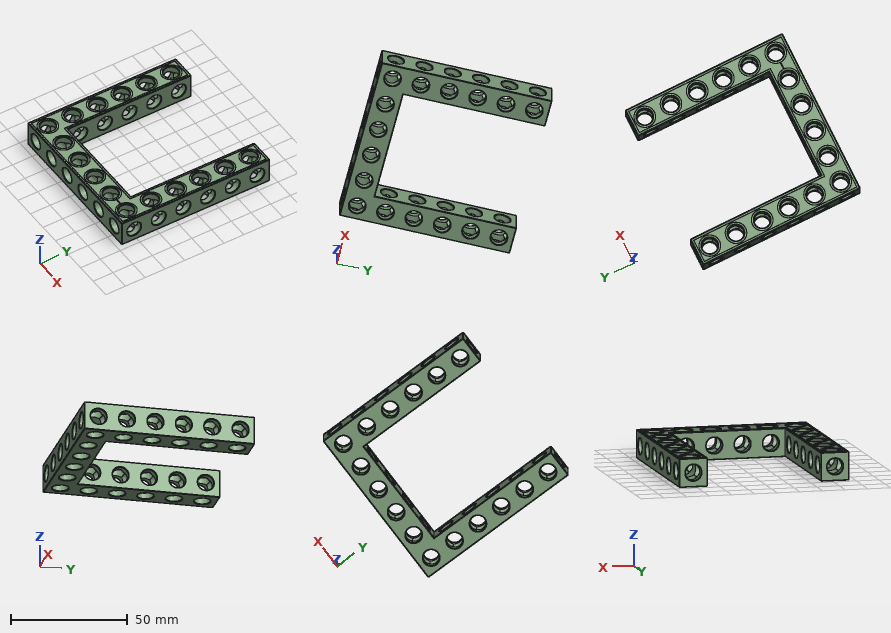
import cadquery as cq

length = 75.0
holes_per_side = 6
hole_diameter = 7.0
edge_chamfer = 0.3
border_width = 1.1
ring_diameter = 9.2
recess_depth = 0.15
bridge_width = 0.3

pitch = length / holes_per_side
half_length = length / 2
half_pitch = pitch / 2
hole_offsets = [(i + 0.5) * pitch - half_length for i in range(holes_per_side)]
first_offset = hole_offsets[0]
last_offset = hole_offsets[-1]

base_centers = [(x, first_offset) for x in hole_offsets]
arm_centers = [(x, y) for x in (first_offset, last_offset) for y in hole_offsets[1:]]
top_centers = base_centers + arm_centers


def u_plate(inset, bottom_z, height):
    """U-shaped plate open towards +Y, its whole outline moved inwards by inset."""
    outer = half_length - inset
    inner = half_length - pitch + inset
    outline = [
        (-outer, -outer),
        (outer, -outer),
        (outer, outer),
        (inner, outer),
        (inner, -inner),
        (-inner, -inner),
        (-inner, outer),
        (-outer, outer),
    ]
    return cq.Workplane("XY").workplane(offset=bottom_z).polyline(outline).close().extrude(height)


def chamfered_body():
    """Solid U with its convex edges chamfered; the two upright inside corners stay sharp."""
    body = u_plate(0, -half_pitch, pitch)
    body = body.edges("|Z").edges("<Y or >Y").chamfer(edge_chamfer)
    return body.faces("<Z or >Z").chamfer(edge_chamfer)


def top_recess():
    """Shallow recess cutter that leaves a border, a ring round each hole and one bridge."""
    floor_z = half_pitch - recess_depth
    floor_plane = cq.Workplane("XY").workplane(offset=floor_z)
    rings = floor_plane.pushPoints(top_centers).circle(ring_diameter / 2).extrude(recess_depth)
    bridge = (
        floor_plane.center(last_offset - half_pitch, first_offset)
        .rect(pitch, bridge_width)
        .extrude(recess_depth)
    )
    return u_plate(border_width, floor_z, recess_depth).cut(rings).cut(bridge)


def hole_cutter(center, axis, depth):
    """Drill along axis with chamfered mouths, its depth centred on the given point."""
    radius = hole_diameter / 2
    mouth_radius = radius + edge_chamfer
    half_depth = depth / 2
    profile = [
        (0, -half_depth),
        (mouth_radius, -half_depth),
        (radius, edge_chamfer - half_depth),
        (radius, half_depth - edge_chamfer),
        (mouth_radius, half_depth),
        (0, half_depth),
    ]
    x_dir = cq.Vector(0, 1, 0) if axis.x else cq.Vector(1, 0, 0)
    plane = cq.Plane(origin=center, xDir=x_dir, normal=x_dir.cross(axis))
    return cq.Workplane(plane).polyline(profile).close().revolve(360, (0, 0, 0), (0, 1, 0))


along_x = cq.Vector(1, 0, 0)
along_y = cq.Vector(0, 1, 0)
along_z = cq.Vector(0, 0, 1)

result = chamfered_body().cut(top_recess())

for x, y in top_centers:
    result = result.cut(hole_cutter((x, y, 0), along_z, pitch))

for x in hole_offsets[1:-1]:
    result = result.cut(hole_cutter((x, first_offset, 0), along_y, pitch))
for x, y in arm_centers:
    result = result.cut(hole_cutter((x, y, 0), along_x, pitch))

result = result.cut(hole_cutter((0, first_offset, 0), along_x, length))
for x in (first_offset, last_offset):
    result = result.cut(hole_cutter((x, 0, 0), along_y, length))